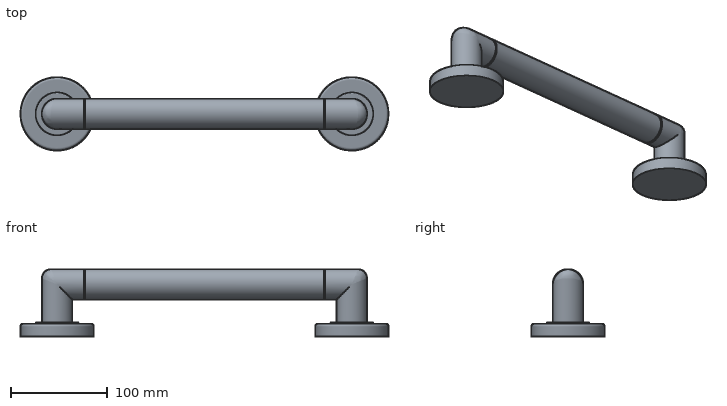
import math

import cadquery as cq

OVERALL_LENGTH = 381.0
FLANGE_DIAMETER = 76.2
OVERALL_HEIGHT = 69.98

TUBE_DIAMETER = 31.75
CORNER_RADIUS = 9.525

FLANGE_THICKNESS = 13.5
FLANGE_EDGE_RADIUS = 3.0
COLLAR_DIAMETER = 44.45
COLLAR_HEIGHT = 1.5
COLLAR_EDGE_RADIUS = 1.4

JOINT_OFFSET = 28.2
GROOVE_WIDTH = 1.5
GROOVE_DEPTH = 0.4

TUBE_RADIUS = TUBE_DIAMETER / 2
SPINE_RADIUS = TUBE_RADIUS - CORNER_RADIUS
POST_X = (OVERALL_LENGTH - FLANGE_DIAMETER) / 2
BAR_Z = OVERALL_HEIGHT - TUBE_RADIUS
MITRE_ANGLE = 45.0


def make_rail():
    """Sweep the round tube up one post, along the bar and down the other post."""
    path = (
        cq.Workplane("XZ")
        .moveTo(-POST_X, 0)
        .lineTo(-POST_X, BAR_Z)
        .lineTo(POST_X, BAR_Z)
        .lineTo(POST_X, 0)
    )
    return (
        cq.Workplane("XY", origin=(-POST_X, 0, 0))
        .circle(TUBE_RADIUS)
        .sweep(path, transition="right")
    )


def make_wedge():
    """Wedge of an elbow that the rounding replaces.

    Its apex line runs along Y through the crossing of the two tube axes, and
    it opens along local X, which points out of the elbow along the mitre.
    """
    reach = 2 * TUBE_DIAMETER
    half_angle = math.radians(MITRE_ANGLE) - math.atan2(SPINE_RADIUS, TUBE_RADIUS)
    half_opening = reach * math.tan(half_angle)
    return (
        cq.Workplane("XZ")
        .polyline([(0, 0), (reach, half_opening), (reach, -half_opening)])
        .close()
        .extrude(TUBE_DIAMETER, both=True)
    )


def make_rounded_corner():
    """Rounded elbow corner, in the same local frame as the wedge.

    A ball of the corner radius rolls inside both tubes, so its centre follows
    half of an ellipse lying in the mitre plane. The outer half of the ball's
    section, swept along that ellipse, forms the rounding; a core fills it.
    """
    long_radius = SPINE_RADIUS / math.cos(math.radians(MITRE_ANGLE))
    spine = cq.Workplane("XY").ellipseArc(
        long_radius, SPINE_RADIUS, -90, 90, startAtCurrent=False
    )
    rim = (
        cq.Workplane("YZ", origin=(0, -SPINE_RADIUS, 0))
        .moveTo(0, -CORNER_RADIUS)
        .threePointArc((-CORNER_RADIUS, 0), (0, CORNER_RADIUS))
        .close()
        .sweep(spine)
    )
    overlap = CORNER_RADIUS / 2
    core = (
        cq.Workplane("XY")
        .ellipse(long_radius + overlap, SPINE_RADIUS + overlap)
        .extrude(CORNER_RADIUS, both=True)
    )
    wedge = make_wedge()
    return rim.intersect(wedge).union(core.intersect(wedge))


def place_at_elbow(shape, side):
    """Turn a local elbow shape onto the mitre at the given end of the bar."""
    turned = shape.rotate((0, 0, 0), (0, 1, 0), -MITRE_ANGLE)
    placed = turned.translate((POST_X, 0, BAR_Z))
    return placed if side > 0 else placed.mirror("YZ")


def make_flange(side):
    """Wall flange: a disc with a rounded rim and a low rounded collar."""
    disc = (
        cq.Workplane("XY")
        .circle(FLANGE_DIAMETER / 2)
        .extrude(FLANGE_THICKNESS)
        .faces(">Z")
        .edges()
        .fillet(FLANGE_EDGE_RADIUS)
    )
    collar = (
        cq.Workplane("XY", origin=(0, 0, FLANGE_THICKNESS))
        .circle(COLLAR_DIAMETER / 2)
        .extrude(COLLAR_HEIGHT)
        .faces(">Z")
        .edges()
        .fillet(COLLAR_EDGE_RADIUS)
    )
    return disc.union(collar).translate((side * POST_X, 0, 0))


def make_joint_groove(side):
    """Ring that cuts the shallow groove where the bar meets the elbow."""
    start_x = side * (POST_X - JOINT_OFFSET) - GROOVE_WIDTH / 2
    return (
        cq.Workplane("YZ", origin=(start_x, 0, BAR_Z))
        .circle(TUBE_RADIUS + GROOVE_DEPTH)
        .circle(TUBE_RADIUS - GROOVE_DEPTH)
        .extrude(GROOVE_WIDTH)
    )


result = make_rail()
for end in (-1, 1):
    result = result.cut(place_at_elbow(make_wedge(), end))
    result = result.union(place_at_elbow(make_rounded_corner(), end))
    result = result.cut(make_joint_groove(end))
    result = result.union(make_flange(end))